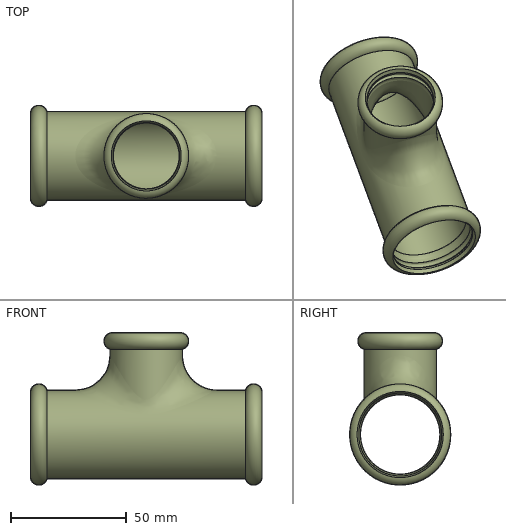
import cadquery as cq

LENGTH = 100.0
BRANCH_TOP = 43.95
WALL = 1.5

RUN_DIAMETER = 38.4
RUN_BEAD_DIAMETER = 43.7
BRANCH_DIAMETER = 31.4
BRANCH_BEAD_DIAMETER = 36.6

BEAD_WIDTH = 7.3
MOUTH_CLEARANCE = 0.9
SOCKET_CLEARANCE = 0.2
MOUTH_DEPTH = 1.7
GROOVE_START = 2.7
GROOVE_END = 5.3
SOCKET_DEPTH = 6.9
TAPER_DEPTH = 7.7
STOP_DEPTH = 9.0
RUN_STOP_DIAMETER = 34.2

SADDLE_RADIUS = 14.8
SADDLE_INNER_RADIUS = SADDLE_RADIUS + WALL
JOINT_MARGIN = 1.0

RUN_RADIUS = RUN_DIAMETER / 2
BRANCH_RADIUS = BRANCH_DIAMETER / 2
RUN_BORE_RADIUS = RUN_RADIUS - WALL
RUN_STOP_RADIUS = RUN_STOP_DIAMETER / 2
BRANCH_BORE_RADIUS = BRANCH_RADIUS - WALL

RUN_LEFT = cq.Plane(origin=(-LENGTH / 2, 0, 0), xDir=(0, 1, 0), normal=(-1, 0, 0))
RUN_RIGHT = cq.Plane(origin=(LENGTH / 2, 0, 0), xDir=(0, 1, 0), normal=(1, 0, 0))
BRANCH_END = cq.Plane(origin=(0, 0, BRANCH_TOP))


def place(shape, end_plane):
    """Move a shape made about Z, with its end face at z = 0, to a tube end."""
    return cq.Workplane(obj=shape.val().moved(cq.Location(end_plane)))


def revolve_about_z(profile):
    return profile.close().revolve(360, (0, 0, 0), (0, 1, 0))


def tee(run_radius, branch_radius, saddle_radius, end_setback=0.0):
    """Solid tee whose branch flares into the run, stopping short of each end face by the setback."""
    run = cq.Workplane("YZ").circle(run_radius).extrude(LENGTH / 2 - end_setback, both=True)
    branch = cq.Workplane("XY").circle(branch_radius).extrude(BRANCH_TOP - end_setback)
    joint_box = cq.selectors.BoxSelector(
        (-branch_radius - JOINT_MARGIN, -run_radius, 0),
        (branch_radius + JOINT_MARGIN, run_radius, run_radius + JOINT_MARGIN),
    )
    return run.union(branch).edges(joint_box).fillet(saddle_radius)


def bead(bead_diameter, bore_radius):
    """Solid rounded collar around a tube end."""
    outer_radius = bead_diameter / 2
    mouth_radius = bore_radius + MOUTH_CLEARANCE
    profile = (
        cq.Workplane("XZ")
        .lineTo(mouth_radius, 0)
        .threePointArc((outer_radius, -BEAD_WIDTH / 2), (mouth_radius, -BEAD_WIDTH))
        .lineTo(0, -BEAD_WIDTH)
    )
    return revolve_about_z(profile)


def socket_cavity(bore_radius, stop_radius):
    """Tapered mouth, seal groove, socket and lead-in to the bore at a tube end."""
    socket_radius = bore_radius + SOCKET_CLEARANCE
    groove_radius = (GROOVE_END - GROOVE_START) / 2
    groove_middle = (GROOVE_START + GROOVE_END) / 2
    profile = (
        cq.Workplane("XZ")
        .lineTo(bore_radius + MOUTH_CLEARANCE, 0)
        .lineTo(socket_radius, -MOUTH_DEPTH)
        .lineTo(socket_radius, -GROOVE_START)
        .threePointArc((socket_radius + groove_radius, -groove_middle), (socket_radius, -GROOVE_END))
        .lineTo(socket_radius, -SOCKET_DEPTH)
        .lineTo(bore_radius, -TAPER_DEPTH)
        .lineTo(stop_radius, -STOP_DEPTH)
        .lineTo(0, -STOP_DEPTH)
    )
    return revolve_about_z(profile)


ends = [
    (RUN_LEFT, RUN_BEAD_DIAMETER, RUN_BORE_RADIUS, RUN_STOP_RADIUS),
    (RUN_RIGHT, RUN_BEAD_DIAMETER, RUN_BORE_RADIUS, RUN_STOP_RADIUS),
    (BRANCH_END, BRANCH_BEAD_DIAMETER, BRANCH_BORE_RADIUS, BRANCH_BORE_RADIUS),
]

result = tee(RUN_RADIUS, BRANCH_RADIUS, SADDLE_RADIUS, end_setback=BEAD_WIDTH / 2)
for end_plane, bead_diameter, bore_radius, _ in ends:
    result = result.union(place(bead(bead_diameter, bore_radius), end_plane))

result = result.cut(tee(RUN_STOP_RADIUS, BRANCH_BORE_RADIUS, SADDLE_INNER_RADIUS))
for end_plane, _, bore_radius, stop_radius in ends:
    result = result.cut(place(socket_cavity(bore_radius, stop_radius), end_plane))